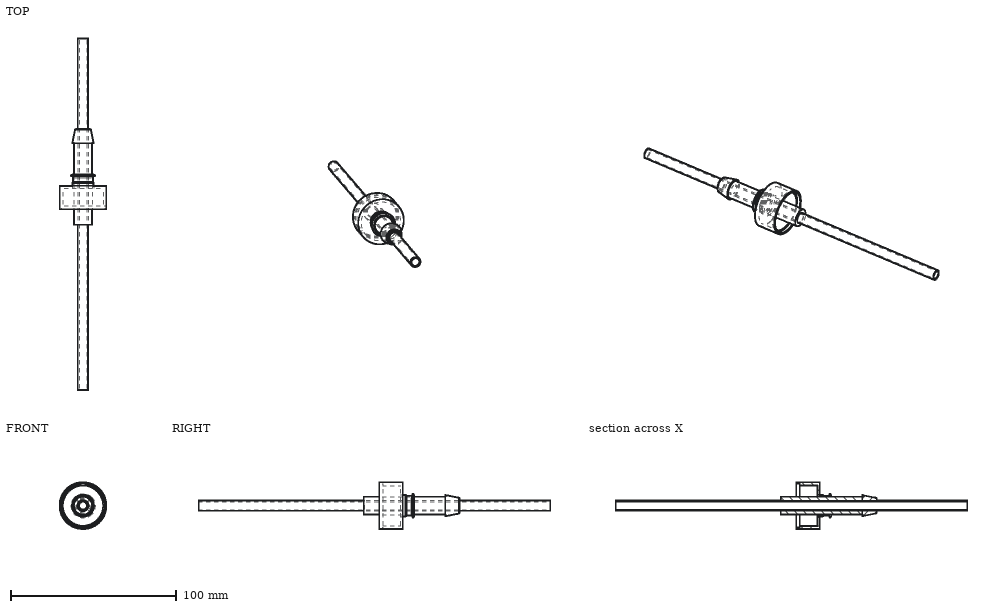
import cadquery as cq


tube_length = 213.11
tube_radius = 3.175
tube_bore_radius = 2.38
tube_front = -tube_length / 2
tube_rear = tube_length / 2

sleeve_radius = 5.5
sleeve_front = tube_front + 100.0
sleeve_rear = 43.0
sleeve_countersink = 0.2

cone_length = 8.8
cone_base_radius = 6.5
cone_tip_radius = 4.9
cone_chamfer = 0.7
cone_rear = sleeve_rear + cone_length

cap_radius = 28.45 / 2
cap_length = 14.3
cap_inner_radius = 12.2
cap_mouth_radius = 13.2
cap_mouth_depth = 2.1
cap_floor = 1.5
cap_front = sleeve_front + 9.4
cap_rear = cap_front + cap_length

collar_radius = 6.6
collar_neck_radius = 6.1
collar_bevel_length = 0.8
collar_shoulder = cap_rear + 2.4
collar_rear = cap_rear + 5.5

taper_front = cap_rear - cap_floor
taper_length = 6.0
taper_rear = taper_front + taper_length
taper_mouth_radius = 6.7
taper_slope = (taper_mouth_radius - sleeve_radius) / taper_length
taper_joint_radius = taper_mouth_radius - cap_floor * taper_slope

ring_radius = 7.3
ring_width = 1.5
ring_rear = collar_rear + ring_width
ring_rim_width = 0.4
ring_bevel_length = (ring_width - ring_rim_width) / 2


def turned(profile):
    """Solid of revolution about Y from (radius, y) corners."""
    return cq.Workplane("XY").polyline(profile).close().revolve(360, (0, 0, 0), (0, 1, 0))


tube = turned([
    (tube_bore_radius, tube_front),
    (tube_radius, tube_front),
    (tube_radius, tube_rear),
    (tube_bore_radius, tube_rear),
])

sleeve = turned([
    (tube_radius, sleeve_front + sleeve_countersink),
    (tube_radius + sleeve_countersink, sleeve_front),
    (sleeve_radius, sleeve_front),
    (sleeve_radius, sleeve_rear),
    (tube_radius, sleeve_rear),
])

cone = turned([
    (tube_radius, sleeve_rear),
    (cone_base_radius, sleeve_rear),
    (cone_tip_radius, cone_rear - cone_chamfer),
    (cone_tip_radius - cone_chamfer, cone_rear),
    (tube_radius, cone_rear),
])

collar = turned([
    (sleeve_radius, taper_rear),
    (taper_joint_radius, cap_rear),
    (collar_radius, cap_rear),
    (collar_radius, collar_shoulder - collar_bevel_length),
    (collar_neck_radius, collar_shoulder),
    (collar_neck_radius, collar_rear),
    (sleeve_radius, collar_rear),
])

ring = turned([
    (sleeve_radius, collar_rear),
    (collar_neck_radius, collar_rear),
    (ring_radius, collar_rear + ring_bevel_length),
    (ring_radius, ring_rear - ring_bevel_length),
    (collar_neck_radius, ring_rear),
    (sleeve_radius, ring_rear),
])

cap = turned([
    (taper_mouth_radius, taper_front),
    (cap_inner_radius, taper_front),
    (cap_inner_radius, cap_front + cap_mouth_depth),
    (cap_mouth_radius, cap_front + cap_mouth_depth),
    (cap_mouth_radius, cap_front),
    (cap_radius, cap_front),
    (cap_radius, cap_rear),
    (taper_joint_radius, cap_rear),
])

result = cq.Compound.makeCompound([
    tube.val(),
    sleeve.val(),
    cone.val(),
    collar.val(),
    ring.val(),
    cap.val(),
])